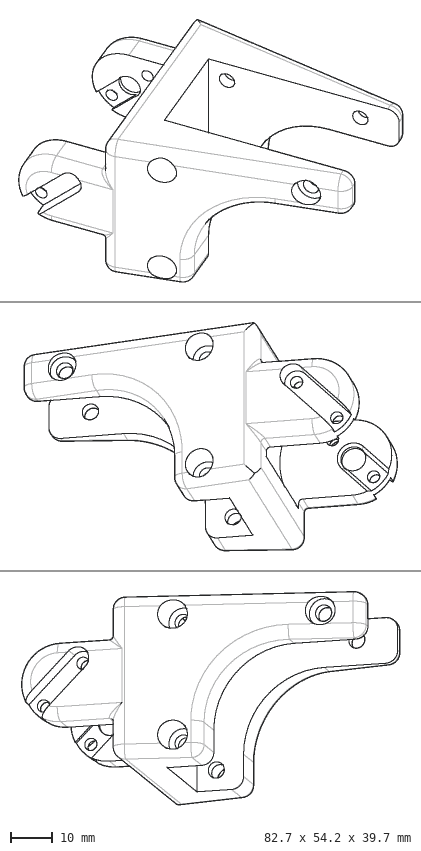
import cadquery as cq
import math

length = 82.7
height = 39.7
width = 54.2
edge_radius = 3.0

body_front = 22.75
base_end = 44.4
arm_height = 11.25
cove_radius = 20.0
taper = math.radians(10.2)
fork_gap = 25.7
fork_start = 32.85

lug_radius = 9.6
lug_thickness = 9.0
lug_root_radius = 1.0
lug_gap = width - 2 * lug_thickness
groove_radius = 17.8

slot_width = 5.8
slot_angle = 45.0
outer_slot_depth = 5.1
inner_slot_depth = 1.0
inner_slot_flare = 0.8
pocket_diameter = 6.0
pocket_depth = 2.0
pin_diameter = 3.0
pin_offset = 6.95

screw_diameter = 4.0
head_diameter = 7.0
seat_thickness = 3.0
screw_margin = 5.05
screw_x_near = 37.65
screw_x_far = 72.6

mid_z = height / 2
arm_bottom = height - arm_height
half_gap = fork_gap / 2
lug_outer = width / 2
lug_inner = lug_gap / 2
pick_margin = 0.4


def cylinder_y(x, z, radius, y_start, y_end):
    """Cylinder along Y between two Y positions."""
    plane = cq.Workplane("XZ", origin=(x, y_start, z))
    return plane.circle(radius).extrude(y_start - y_end)


def box_around(x, z):
    """Selector for edges along Y whose middle lies at the given X and Z."""
    low = (x - pick_margin, -pick_margin, z - pick_margin)
    high = (x + pick_margin, pick_margin, z + pick_margin)
    return cq.selectors.BoxSelector(low, high)


def make_body():
    corner_y = lug_outer - edge_radius + edge_radius * (1 + math.sin(taper)) / math.cos(taper)
    tip_y = corner_y - (length - body_front) * math.tan(taper)
    cove_z = arm_bottom - cove_radius
    cove_x = base_end + cove_radius
    diagonal = cove_radius * math.sqrt(0.5)
    side = (
        cq.Workplane("XZ")
        .moveTo(body_front, 0)
        .lineTo(base_end, 0)
        .lineTo(base_end, cove_z)
        .threePointArc((cove_x - diagonal, cove_z + diagonal), (cove_x, arm_bottom))
        .lineTo(length, arm_bottom)
        .lineTo(length, height)
        .lineTo(body_front, height)
        .close()
        .extrude(width, both=True)
    )
    plan = (
        cq.Workplane("XY")
        .polyline([(body_front, -corner_y), (length, -tip_y), (length, tip_y), (body_front, corner_y)])
        .close()
        .extrude(height)
    )
    body = side.intersect(plan)
    cove_start = box_around(base_end, cove_z)
    cove_end = box_around(cove_x, arm_bottom)
    sharp_edges = body.edges(cq.selectors.InverseSelector(cove_start + cove_end))
    return sharp_edges.fillet(edge_radius)


def make_mitred_corner(z):
    """Meeting of the three rounded edges at a +Y front corner: mitred, so fuller than a ball."""
    centre = (body_front + edge_radius, lug_outer - edge_radius, z)
    slope = (math.cos(taper), -math.sin(taper), 0)
    corner = cq.Workplane(cq.Plane(centre)).circle(edge_radius).extrude(2 * edge_radius, both=True)
    for direction in ((0, 1, 0), slope):
        plane = cq.Plane(centre, xDir=(0, 0, 1), normal=direction)
        rod = cq.Workplane(plane).circle(edge_radius).extrude(2 * edge_radius, both=True)
        corner = corner.intersect(rod)
    return corner


def make_lug_bar():
    bar_end = body_front + edge_radius
    bar = (
        cq.Workplane("XZ")
        .moveTo(bar_end, mid_z + lug_radius)
        .lineTo(lug_radius, mid_z + lug_radius)
        .threePointArc((0, mid_z), (lug_radius, mid_z - lug_radius))
        .lineTo(bar_end, mid_z - lug_radius)
        .close()
        .extrude(lug_outer, both=True)
    )
    return bar.faces("<Y or >Y").edges("not >X").fillet(edge_radius)


def round_lug_roots(solid):
    upper_root = box_around(body_front, mid_z + lug_radius)
    lower_root = box_around(body_front, mid_z - lug_radius)
    return solid.edges(upper_root + lower_root).edges("|Y").fillet(lug_root_radius)


def make_fork_gap():
    gap = cq.Workplane("XY", origin=(fork_start, 0, 0))
    return gap.box(length, fork_gap, height, centered=(False, True, False))


def make_lug_clearance():
    """Open space between the lugs, ending in a round groove in the body wall."""
    return cylinder_y(lug_radius, mid_z, groove_radius, -lug_inner, lug_inner)


def slot_outline(y, end_offset, slot_size):
    """Sloping slot outline that is open at the lug nose and round at its upper end."""
    reach = 2 * lug_radius
    half = slot_size / 2
    plane = cq.Plane(origin=(lug_radius, y, mid_z), xDir=(1, 0, 0), normal=(0, -1, 0))
    return (
        cq.Workplane(plane.rotated((0, 0, slot_angle)))
        .moveTo(-reach, -half)
        .lineTo(end_offset, -half)
        .threePointArc((end_offset + half, 0), (end_offset, half))
        .lineTo(-reach, half)
        .close()
    )


def make_lug_cuts():
    """Slots, pin holes and centre pockets of both lugs."""
    cuts = cq.Workplane()
    for side in (-1, 1):
        outer_slot = slot_outline(side * lug_outer, pin_offset, slot_width).extrude(side * outer_slot_depth)
        flare = inner_slot_flare if side < 0 else 0
        flare_angle = math.degrees(math.atan2(flare, inner_slot_depth))
        inner_slot = slot_outline(side * lug_inner, 0, slot_width + 2 * flare).extrude(
            -side * inner_slot_depth, taper=flare_angle
        )
        pocket = cylinder_y(
            lug_radius, mid_z, pocket_diameter / 2, side * lug_inner, side * (lug_inner + pocket_depth)
        )
        cuts = cuts.add(outer_slot).add(inner_slot).add(pocket)
    reach = pin_offset * math.sqrt(0.5)
    for offset in (-reach, reach):
        cuts = cuts.add(
            cylinder_y(lug_radius + offset, mid_z + offset, pin_diameter / 2, -lug_outer, lug_outer)
        )
    return cuts


def make_screw_holes():
    top_z = height - screw_margin
    cuts = cq.Workplane()
    for x, z in [(screw_x_near, top_z), (screw_x_far, top_z), (screw_x_near, screw_margin)]:
        cuts = cuts.add(cylinder_y(x, z, screw_diameter / 2, -width, width))
        for side in (-1, 1):
            cuts = cuts.add(
                cylinder_y(x, z, head_diameter / 2, side * (half_gap + seat_thickness), side * width)
            )
    return cuts


result = round_lug_roots(make_body().union(make_lug_bar()))
for corner_z in (edge_radius, height - edge_radius):
    result = result.union(make_mitred_corner(corner_z))
for cuts in (make_fork_gap(), make_lug_clearance(), make_lug_cuts(), make_screw_holes()):
    for cutter in cuts.vals():
        result = result.cut(cq.Workplane(cutter))